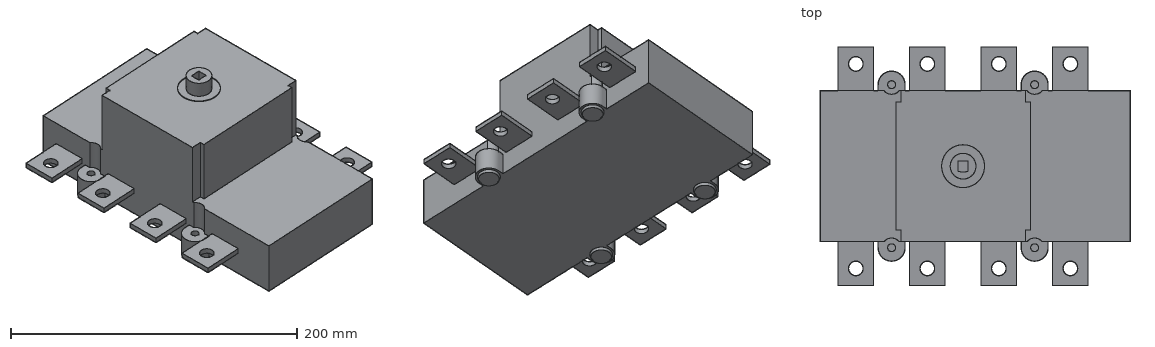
import cadquery as cq


base_left = -100.0
base_length = 217.0
base_depth = 105.5
base_height = 40.0

tower_width = 94.0
tower_top = 88.0
notch_width = 3.5
notch_depth = 8.0

shaft_diameter = 18.0
shaft_top = 99.0
socket_size = 7.0
socket_bulge = 0.6
socket_depth = 10.0
recess_diameter = 30.0
recess_depth = 0.5

terminal_pitch = 50.0
terminal_count = 4
terminal_width = 25.0
terminal_thickness = 4.0
terminal_bottom = 18.0
terminal_span = 167.0
terminal_hole_diameter = 10.0
terminal_hole_y = 71.5

lug_x = 50.0
lug_y = 57.0
lug_radius = 9.5
lug_height = terminal_bottom
lug_hole_diameter = 5.5
screw_clearance_diameter = 13.5

foot_height = 2.0
foot_top_diameter = 16.0
foot_bottom_diameter = 14.5


def make_base():
    return cq.Workplane("XY").box(
        base_length, base_depth, base_height, centered=(False, True, False)
    ).translate((base_left, 0, 0))


def make_tower():
    block = cq.Workplane("XY").box(
        tower_width, base_depth, tower_top, centered=(True, True, False)
    )
    notches = (
        cq.Workplane("XY")
        .workplane(offset=base_height)
        .rect(tower_width, base_depth, forConstruction=True)
        .vertices()
        .rect(2 * notch_width, 2 * notch_depth)
        .extrude(tower_top - base_height)
    )
    return block.cut(notches)


def make_shaft():
    return cq.Workplane("XY").circle(shaft_diameter / 2).extrude(shaft_top)


def make_socket():
    """Square socket whose front side bows outward, marking the shaft's orientation."""
    half_size = socket_size / 2
    return (
        cq.Workplane("XY")
        .workplane(offset=shaft_top - socket_depth)
        .moveTo(half_size, -half_size)
        .lineTo(half_size, half_size)
        .lineTo(-half_size, half_size)
        .lineTo(-half_size, -half_size)
        .threePointArc((0, -half_size - socket_bulge), (half_size, -half_size))
        .close()
        .extrude(socket_depth)
    )


def make_shaft_recess():
    return (
        cq.Workplane("XY")
        .workplane(offset=tower_top - recess_depth)
        .circle(recess_diameter / 2)
        .extrude(recess_depth)
    )


def make_terminals():
    return (
        cq.Workplane("XY")
        .workplane(offset=terminal_bottom)
        .rarray(terminal_pitch, 1, terminal_count, 1)
        .rect(terminal_width, terminal_span)
        .extrude(terminal_thickness)
    )


def make_terminal_holes():
    return (
        cq.Workplane("XY")
        .workplane(offset=terminal_bottom)
        .rarray(terminal_pitch, 2 * terminal_hole_y, terminal_count, 2)
        .circle(terminal_hole_diameter / 2)
        .extrude(terminal_thickness)
    )


def lug_plane(height):
    """Workplane at the given height with a point on each of the four lug axes."""
    return (
        cq.Workplane("XY")
        .workplane(offset=height)
        .rarray(2 * lug_x, 2 * lug_y, 2, 2)
    )


def make_lugs():
    """Front and rear lugs on the same X are the two round ends of one long slot shape."""
    lug_pair_length = 2 * (lug_y + lug_radius)
    return (
        cq.Workplane("XY")
        .rarray(2 * lug_x, 1, 2, 1)
        .slot2D(lug_pair_length, 2 * lug_radius, 90)
        .extrude(lug_height)
    )


def make_feet():
    foot = (
        cq.Workplane("XY")
        .circle(foot_top_diameter / 2)
        .workplane(offset=-foot_height)
        .circle(foot_bottom_diameter / 2)
        .loft(combine=True)
        .val()
    )
    return lug_plane(0).eachpoint(foot, useLocalCoordinates=True)


def make_screw_clearances():
    """Round recesses in the housing wall that leave room above the lugs."""
    return (
        lug_plane(lug_height)
        .circle(screw_clearance_diameter / 2)
        .extrude(base_height - lug_height)
    )


def make_lug_holes():
    """Screw holes through the lugs, closed below by the feet."""
    return lug_plane(0).circle(lug_hole_diameter / 2).extrude(lug_height)


housing = make_base().union(make_tower()).cut(make_screw_clearances()).cut(make_shaft_recess())
result = (
    housing
    .union(make_terminals())
    .union(make_lugs())
    .union(make_feet())
    .union(make_shaft())
    .cut(make_terminal_holes())
    .cut(make_lug_holes())
    .cut(make_socket())
)